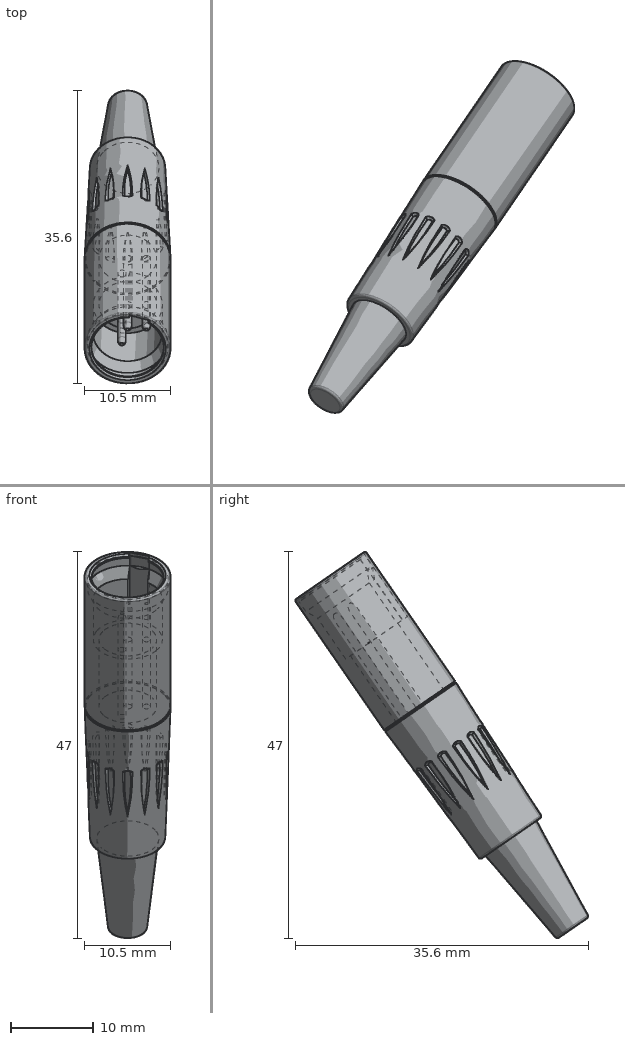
import cadquery as cq
import math

LEAN = 34.58

FLOOR_DEPTH = 9.4
SHELL_LENGTH = 19.3
GRIP_END = 38.8
PLUG_LENGTH = 52.06

SHELL_RADIUS = 10.5 / 2
BORE_RADIUS = 8.4 / 2
RIM_FILLET = 0.2
LIP_RADIUS = 8.8 / 2
LIP_CHAMFER = 0.25
LIP_END = 0.45
UNDERCUT_RADIUS = 4.9
UNDERCUT_END = 1.9
CONE_END = 3.4
SHELL_END_CHAMFER = 0.12

KEY_ANGLE = 72
KEY_WIDTH = 2.5
KEY_FLAT = 4.77

INSERT_RADIUS = 7.0 / 2
PIN_RADIUS = 1.0 / 2
PIN_TIP_RADIUS = 0.2
PIN_SHOULDER_DEPTH = 5.05
PIN_TIP_LENGTH = 0.95
PIN_TIP_BULGE = 0.1
PIN_CIRCLE_RADIUS = 2.28
SIDE_PIN_FROM_KEY = 72
OUTER_PIN_ANGLES = (KEY_ANGLE - SIDE_PIN_FROM_KEY, KEY_ANGLE + 180)

GRIP_FRONT_RADIUS = 5.25
GRIP_END_RADIUS = 4.6
GRIP_FRONT_CHAMFER = 0.15
GRIP_END_FILLET = 0.3

GROOVE_COUNT = 14
GROOVE_MOUTH_START = 25.3
GROOVE_MOUTH_END = 32.4
GROOVE_MOUTH_WIDTH = 1.4
GROOVE_FLOOR_START = 25.6
GROOVE_FLOOR_END = 31.8
GROOVE_FLOOR_WIDTH = 0.7
GROOVE_CROWN = 0.2
GROOVE_SIDE_BULGE = 0.16
GROOVE_DEPTH = 0.3
GROOVE_MOUTH_CLEARANCE = 0.05

BOOT_FRONT_RADIUS = 3.78
BOOT_TAIL_RADIUS = 2.38
BOOT_TAIL_FILLET = 0.35


def bulged_middle(start, end, bulge):
    """The point halfway between two outline points, moved along the first axis by the bulge."""
    return ((start[0] + end[0]) / 2 + bulge, (start[1] + end[1]) / 2)


def revolved(outline):
    """A closed outline of radius and height, turned about the Z axis."""
    return outline.close().revolve(360, (0, 0, 0), (0, 1, 0))


def make_shell():
    outside = (
        cq.Workplane("XY")
        .circle(SHELL_RADIUS)
        .extrude(-SHELL_LENGTH)
        .faces(">Z").edges().fillet(RIM_FILLET)
        .faces("<Z").edges().chamfer(SHELL_END_CHAMFER)
    )
    cavity = revolved(
        cq.Workplane("XZ")
        .moveTo(0, 0)
        .lineTo(LIP_RADIUS + LIP_CHAMFER, 0)
        .lineTo(LIP_RADIUS, -LIP_CHAMFER)
        .lineTo(LIP_RADIUS, -LIP_END)
        .lineTo(UNDERCUT_RADIUS, -LIP_END)
        .lineTo(UNDERCUT_RADIUS, -UNDERCUT_END)
        .lineTo(BORE_RADIUS, -CONE_END)
        .lineTo(BORE_RADIUS, -FLOOR_DEPTH)
        .lineTo(0, -FLOOR_DEPTH)
    )
    keyway = (
        cq.Workplane("XY")
        .center(KEY_FLAT / 2, 0)
        .rect(KEY_FLAT, KEY_WIDTH)
        .extrude(-FLOOR_DEPTH)
        .rotate((0, 0, 0), (0, 0, 1), KEY_ANGLE)
    )
    insert_seat = cq.Workplane("XY").circle(INSERT_RADIUS).extrude(-SHELL_LENGTH)
    return outside.cut(cavity).cut(keyway).cut(insert_seat)


def make_pin(x, y):
    shoulder = (PIN_RADIUS, -PIN_SHOULDER_DEPTH)
    tip = (PIN_TIP_RADIUS, PIN_TIP_LENGTH - PIN_SHOULDER_DEPTH)
    pin = revolved(
        cq.Workplane("XZ")
        .moveTo(0, -SHELL_LENGTH)
        .lineTo(PIN_RADIUS, -SHELL_LENGTH)
        .lineTo(*shoulder)
        .threePointArc(bulged_middle(shoulder, tip, PIN_TIP_BULGE), tip)
        .lineTo(0, tip[1])
    )
    return pin.translate((x, y, 0))


def make_insert(pins):
    insert = (
        cq.Workplane("XY", origin=(0, 0, -FLOOR_DEPTH))
        .circle(INSERT_RADIUS)
        .extrude(FLOOR_DEPTH - SHELL_LENGTH)
    )
    for pin in pins:
        insert = insert.cut(pin)
    return insert


def grip_radius(depth):
    """Radius of the tapered grip at a distance below the open end."""
    along_grip = (depth - SHELL_LENGTH) / (GRIP_END - SHELL_LENGTH)
    return GRIP_FRONT_RADIUS + along_grip * (GRIP_END_RADIUS - GRIP_FRONT_RADIUS)


def groove_outline(width, start, end, height):
    """Wire of a pointed groove outline, lying at a height above the tapered surface of the grip."""
    outward = (GRIP_END - SHELL_LENGTH, 0, GRIP_END_RADIUS - GRIP_FRONT_RADIUS)
    plane = cq.Plane(origin=(grip_radius(start), 0, -start), xDir=(0, 1, 0), normal=outward)
    right = (width / 2, -GROOVE_CROWN)
    left = (-width / 2, -GROOVE_CROWN)
    point = (0, start - end)
    return (
        cq.Workplane(plane)
        .workplane(offset=height)
        .moveTo(*right)
        .threePointArc(bulged_middle(right, point, GROOVE_SIDE_BULGE), point)
        .threePointArc(bulged_middle(left, point, -GROOVE_SIDE_BULGE), left)
        .threePointArc((0, 0), right)
        .close()
        .val()
    )


def make_groove():
    """Cutter for one groove: wide and rounded toward the shell, pointed toward the boot."""
    mouth = groove_outline(
        GROOVE_MOUTH_WIDTH, GROOVE_MOUTH_START, GROOVE_MOUTH_END, GROOVE_MOUTH_CLEARANCE
    )
    floor = groove_outline(
        GROOVE_FLOOR_WIDTH, GROOVE_FLOOR_START, GROOVE_FLOOR_END, -GROOVE_DEPTH
    )
    return cq.Workplane(cq.Solid.makeLoft([mouth, floor], True))


def make_grip():
    grip = revolved(
        cq.Workplane("XZ")
        .moveTo(0, -SHELL_LENGTH)
        .lineTo(GRIP_FRONT_RADIUS, -SHELL_LENGTH)
        .lineTo(GRIP_END_RADIUS, -GRIP_END)
        .lineTo(0, -GRIP_END)
    )
    grip = grip.faces(">Z").edges().chamfer(GRIP_FRONT_CHAMFER)
    grip = grip.faces("<Z").edges().fillet(GRIP_END_FILLET)
    groove = make_groove()
    for number in range(GROOVE_COUNT):
        angle = 90 + number * 360 / GROOVE_COUNT
        grip = grip.cut(groove.rotate((0, 0, 0), (0, 0, 1), angle))
    return grip


def make_boot():
    boot = revolved(
        cq.Workplane("XZ")
        .moveTo(0, -GRIP_END)
        .lineTo(BOOT_FRONT_RADIUS, -GRIP_END)
        .lineTo(BOOT_TAIL_RADIUS, -PLUG_LENGTH)
        .lineTo(0, -PLUG_LENGTH)
    )
    return boot.faces("<Z").edges().fillet(BOOT_TAIL_FILLET)


shell = make_shell()
pins = [make_pin(0, 0)]
for pin_angle in OUTER_PIN_ANGLES:
    direction = math.radians(pin_angle)
    pin_x = PIN_CIRCLE_RADIUS * math.cos(direction)
    pin_y = PIN_CIRCLE_RADIUS * math.sin(direction)
    pins.append(make_pin(pin_x, pin_y))
insert = make_insert(pins)
grip = make_grip()
boot = make_boot()

bodies = [shell, insert, *pins, grip, boot]
leaned = [body.rotate((0, 0, 0), (1, 0, 0), LEAN) for body in bodies]
result = cq.Compound.makeCompound([body.val() for body in leaned])